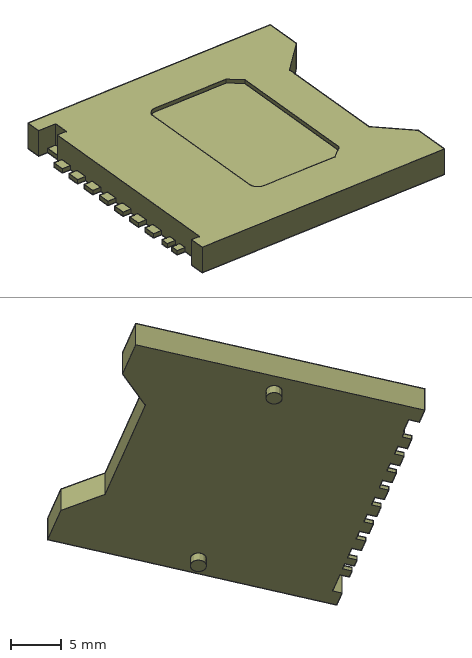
import cadquery as cq

width = 28.6
length = 30.0
body_height = 3.0
left, right = -width / 2, width / 2
front, back = -length / 2, length / 2

cutout_inset = 4.3
cutout_depth = 3.48

tab_width = 1.77
front_recess = 1.0
recess_face = front + front_recess

notch_width = 1.75
notch_depth = 2.1
strip_front_offset = 1.1

contact_height = 0.5
wide_contact_width = 1.4
contact_pitch = 2.5
wide_contact_count = 7
first_contact_offset = 4.95
narrow_contact_width = 0.9
narrow_contact_offsets = (22.4, 24.03)

pocket_width = 17.85
pocket_back_margin = 8.1
pocket_length = 11.22
pocket_back = back - pocket_back_margin
pocket_front = pocket_back - pocket_length
pocket_depth = 0.45
pocket_chamfer_x = 1.2
pocket_chamfer_y = 1.4
pocket_radius = 1.05

peg_diameter = 1.6
peg_height = 1.0
peg_edge_offset = 2.0


def block(x_center, block_width, y_front, y_back, height):
    """Box standing on Z = 0, placed by its X centre and its Y limits."""
    return (
        cq.Workplane("XY")
        .box(block_width, y_back - y_front, height, centered=(True, False, False))
        .translate((x_center, y_front, 0))
    )


def make_housing():
    flank_end = cutout_inset + cutout_depth
    return (
        cq.Workplane("XY")
        .polyline([
            (left, front),
            (left + tab_width, front),
            (left + tab_width, recess_face),
            (right - tab_width, recess_face),
            (right - tab_width, front),
            (right, front),
            (right, back),
            (right - cutout_inset, back),
            (right - flank_end, back - cutout_depth),
            (left + flank_end, back - cutout_depth),
            (left + cutout_inset, back),
            (left, back),
        ])
        .close()
        .extrude(body_height)
    )


def make_pocket():
    half = pocket_width / 2
    return (
        cq.Workplane("XY", origin=(0, 0, body_height - pocket_depth))
        .moveTo(pocket_radius - half, pocket_front)
        .lineTo(half - pocket_radius, pocket_front)
        .radiusArc((half, pocket_front + pocket_radius), -pocket_radius)
        .lineTo(half, pocket_back - pocket_chamfer_y)
        .lineTo(half - pocket_chamfer_x, pocket_back)
        .lineTo(pocket_chamfer_x - half, pocket_back)
        .lineTo(-half, pocket_back - pocket_chamfer_y)
        .lineTo(-half, pocket_front + pocket_radius)
        .radiusArc((pocket_radius - half, pocket_front), -pocket_radius)
        .close()
        .extrude(pocket_depth)
    )


def make_pegs():
    peg_x = right - peg_edge_offset
    return (
        cq.Workplane("XY")
        .pushPoints([(-peg_x, 0), (peg_x, 0)])
        .circle(peg_diameter / 2)
        .extrude(-peg_height)
    )


def cut_notch_with_strip(body):
    """Open the full-height notch, then add the low strip at its rear."""
    notch_x = left + tab_width + notch_width / 2
    notch_back = front + notch_depth
    strip_front = front + strip_front_offset
    notch = block(notch_x, notch_width, front, notch_back, body_height)
    strip = block(notch_x, notch_width, strip_front, notch_back, contact_height)
    return body.cut(notch).union(strip)


def add_contacts(body):
    """Join the wide and narrow contacts to the recessed front face."""
    wide_offsets = [first_contact_offset + i * contact_pitch for i in range(wide_contact_count)]
    for offset in wide_offsets:
        body = body.union(block(left + offset, wide_contact_width, front, recess_face, contact_height))
    for offset in narrow_contact_offsets:
        body = body.union(block(left + offset, narrow_contact_width, front, recess_face, contact_height))
    return body


result = make_housing().cut(make_pocket())
result = cut_notch_with_strip(result)
result = add_contacts(result)
result = result.union(make_pegs())